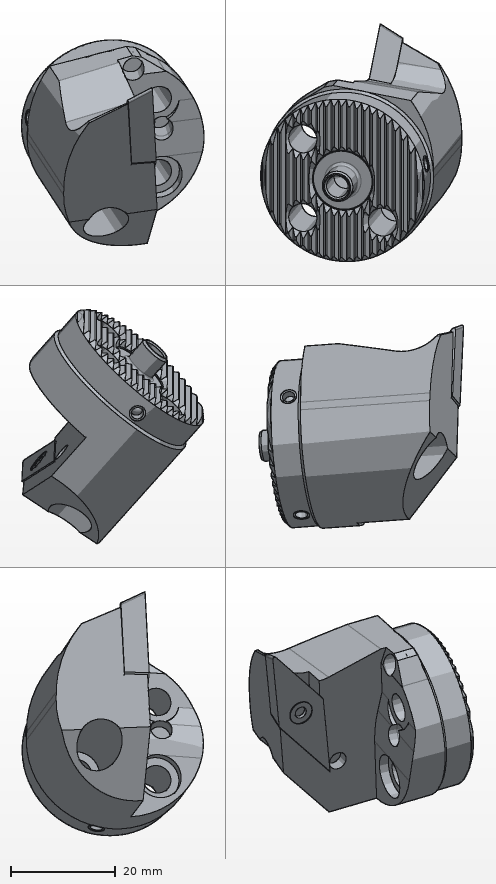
import cadquery as cq
import math


TOOTH_TIP_X = 3.9
TOOTH_ROOT_X = 4.9
TOOTH_DEPTH = TOOTH_ROOT_X - TOOTH_TIP_X
TOOTH_PITCH = 1.5
TOOTH_HALF_ANGLE = 30
GROOVES_PER_SIDE = 11
DISC_RADIUS = 16.0
SHOULDER_START_X = 10.15

BODY_START_X = 10.7
BODY_RADIUS = 16.5
BULGE_START_Z = 1.55
CREST = (3.15, 17.05)
CREST_FLAT_END = (4.95, 16.6)
ROOF_CORNER = (-12.07, 14.95)
BLANK_END_X = 43.12
NOSE_START_X = 31.35
NOSE_BLANK_TOP = (-5.75, 23.52)
OVERSIZE = 117.6

SWEEP_SLOPE_X = 0.086
SWEEP_SLOPE_Z = (CREST[1] - ROOF_CORNER[1]) / (CREST[0] - ROOF_CORNER[0])
ROOF_BREAK_X = 16.2
GULLET_START_X = 27.45
ROOF_ANGLE = 14.5
GULLET_RADIUS = 7.05
STEEP_ANGLE = 52
STEEP_LENGTH = 15.68
SWEEP_START_Y = 4.7
SWEEP_END_Y = -23.52

END_POINT = (37.67, 0, 0)
END_NORMAL = (1, -0.115, -0.047)
BEVEL_POINT = (28.05, 0, -16.45)
BEVEL_NORMAL = (1, -0.055, -0.8)
RIDGE_POINT = (37.7, -4.7, 18.75)
RIDGE_NORMAL = (0.2, -0.47, 0.93)

FLANGE_END_X = 18.15
FLANGE_FACE_X = 16.23
FLANGE_TOP_X = 14.9
FLANGE_SLOPE_TOP_Z = 13.52
FLANGE_SLOPE_LOW_Z = 6.98
FLANGE_ARC_TOP = (17.25, 3.15)
FLANGE_ARC_MIDDLE = (17.9, -0.2)
FLANGE_ARC_END_Z = -3.53
WALL_TOP_Y = 0.1
WALL_SLOPE = 0.064

HOLE_OFFSET = 7.75
HOLE_RADIUS = 2.75
COUNTERBORE_RADIUS = 4.3
HOLE_SIDES = [(1, 1), (1, -1), (-1, -1)]

COOLANT_RADIUS = 2.08
COOLANT_LEAN = 0.15
COOLANT_START_X = 12.55
COOLANT_MOUTHS = [(3.0, 14.6), (8.55, 1.95)]
OUTLET_RADIUS = 1.75
OUTLET_DEPTH = 2.35
OUTLET_PLACE = (26.05, -5.5)

SCREW_HEAD_RADIUS = 2.35
SCREW_HEAD_LENGTH = 1.18
SCREW_RADIUS = 1.55
SCREW_LENGTH = 9.4
SCREW_SOCKET_RADIUS = 1.18
SCREW_SOCKET_DEPTH = 0.8
SCREW_RECESS = 0.2
SCREW_HEAD_TAPER = math.degrees(math.atan2(SCREW_HEAD_RADIUS - SCREW_RADIUS, SCREW_HEAD_LENGTH))

PIN_RADIUS = 2.98
PIN_TIP_CHAMFER = (0.5, 0.3)
PIN_BORE_RADIUS = 2.1
PIN_BORE_CHAMFER = 0.3
PIN_BORE_DEPTH = 7.05
PIN_FILLET = 0.6
PIN_FLANGE_RADIUS = 5.88
PIN_FLANGE_CHAMFER = 0.15
PIN_FLANGE_START_X = 5.1
PIN_FLANGE_END_X = 9.8
DRILL_HALF_ANGLE = 59

NOZZLE_X = 8.2
NOZZLE_ANGLES = [168, 262]
NOZZLE_DEPTH = 3.92
SLEEVE_RADIUS = 1.55
SLEEVE_RECESS = 0.15
SLEEVE_BORE_RADIUS = 1.18
BALL_RADIUS = 1.18
BALL_TOP_DEPTH = 0.98

INSERT_SIDE = 16.85
INSERT_TIP = (39.28, 22.78)
INSERT_EDGE_TILT = 3.2
INSERT_ANGLE = 35
INSERT_RAKE_Y = 0.05
INSERT_THICKNESS = 4.7
INSERT_TIP_SHIFT = (-0.7, -2.08)
INSERT_LOWER_SIDE = 14.5
INSERT_NOSE_RADIUS = 0.4
POCKET_WALL_X = 29.45
POCKET_FLOOR_Z = 9.4


def cut_beyond(shape, point, normal):
    """Remove everything on the outer side of a plane."""
    plane = cq.Plane(origin=point, normal=normal)
    return shape.cut(cq.Workplane(plane).rect(OVERSIZE, OVERSIZE).extrude(OVERSIZE))


def cylinder_x(y, z, radius, start_x, end_x):
    plane = cq.Workplane("YZ", origin=(start_x, y, z))
    return plane.circle(radius).extrude(end_x - start_x)


def countersink_x(y, z, radius):
    """45 degree countersink that opens from the tooth roots to the tooth tips and beyond."""
    plane = cq.Workplane("YZ", origin=(TOOTH_ROOT_X, y, z))
    return plane.circle(radius).extrude(-2 * TOOTH_DEPTH, taper=-45)


def serrated_disc():
    disc = (
        cq.Workplane("XY")
        .moveTo(TOOTH_TIP_X, 0)
        .lineTo(TOOTH_TIP_X, DISC_RADIUS - TOOTH_DEPTH)
        .lineTo(TOOTH_ROOT_X, DISC_RADIUS)
        .lineTo(SHOULDER_START_X, DISC_RADIUS)
        .lineTo(BODY_START_X, BODY_RADIUS)
        .lineTo(BODY_START_X, 0)
        .close()
        .revolve(360, (0, 0, 0), (1, 0, 0))
    )
    half_width = TOOTH_DEPTH * math.tan(math.radians(TOOTH_HALF_ANGLE))
    for index in range(-GROOVES_PER_SIDE, GROOVES_PER_SIDE):
        middle_y = (index + 0.5) * TOOTH_PITCH
        groove = (
            cq.Workplane("XY", origin=(0, 0, -BODY_RADIUS))
            .moveTo(TOOTH_ROOT_X, middle_y)
            .lineTo(TOOTH_TIP_X, middle_y + half_width)
            .lineTo(TOOTH_TIP_X, middle_y - half_width)
            .close()
            .extrude(2 * BODY_RADIUS)
        )
        disc = disc.cut(groove)
    return disc


def body_blank():
    """Prism along X: round below, bulged on the -Y side, with a sloping flat roof."""
    corner_y, corner_z = ROOF_CORNER
    inset = corner_y + BODY_RADIUS
    rise = corner_z - BULGE_START_Z
    bulge_radius = (inset**2 + rise**2) / (2 * inset)
    flat_end_y, flat_end_z = CREST_FLAT_END
    reach = math.hypot(flat_end_y, flat_end_z)
    angle = math.atan2(flat_end_z, flat_end_y) - math.acos(BODY_RADIUS / reach)
    tangent = (BODY_RADIUS * math.cos(angle), BODY_RADIUS * math.sin(angle))
    return (
        cq.Workplane("YZ", origin=(BODY_START_X, 0, 0))
        .moveTo(-BODY_RADIUS, 0)
        .lineTo(-BODY_RADIUS, BULGE_START_Z)
        .radiusArc(ROOF_CORNER, bulge_radius)
        .lineTo(*CREST)
        .lineTo(*CREST_FLAT_END)
        .lineTo(*tangent)
        .threePointArc((0, -BODY_RADIUS), (-BODY_RADIUS, 0))
        .close()
        .extrude(BLANK_END_X - BODY_START_X)
    )


def nose_blank():
    """Extra height above the roof, from which the ridge beside the insert is cut."""
    return (
        cq.Workplane("YZ", origin=(NOSE_START_X, 0, 0))
        .moveTo(*ROOF_CORNER)
        .lineTo(*NOSE_BLANK_TOP)
        .lineTo(CREST[0], NOSE_BLANK_TOP[1])
        .lineTo(CREST[0], 0)
        .close()
        .extrude(BLANK_END_X - NOSE_START_X)
    )


def roof_cut():
    roof = math.radians(ROOF_ANGLE)
    steep = math.radians(STEEP_ANGLE)
    break_z = CREST[1] - CREST[0] * SWEEP_SLOPE_Z
    start_z = break_z - (GULLET_START_X - ROOF_BREAK_X) * math.tan(roof)
    centre_x = GULLET_START_X + GULLET_RADIUS * math.sin(roof)
    centre_z = start_z + GULLET_RADIUS * math.cos(roof)
    end_x = centre_x + GULLET_RADIUS * math.sin(steep)
    end_z = centre_z - GULLET_RADIUS * math.cos(steep)
    top_x = end_x + STEEP_LENGTH * math.cos(steep)
    top_z = end_z + STEEP_LENGTH * math.sin(steep)
    plane = cq.Plane(origin=(0, 0, 0), xDir=(1, 0, 0), normal=(0, -1, 0))
    shift = cq.Vector(-SWEEP_SLOPE_X, 1, SWEEP_SLOPE_Z) * SWEEP_START_Y
    wire = (
        cq.Workplane(plane)
        .moveTo(ROOF_BREAK_X, break_z)
        .lineTo(GULLET_START_X, start_z)
        .threePointArc((centre_x, centre_z - GULLET_RADIUS), (end_x, end_z))
        .lineTo(top_x, top_z)
        .lineTo(ROOF_BREAK_X, top_z)
        .close()
        .val()
        .moved(cq.Location(shift))
    )
    sweep = cq.Vector(SWEEP_SLOPE_X, -1, -SWEEP_SLOPE_Z) * (SWEEP_START_Y - SWEEP_END_Y)
    return cq.Workplane(cq.Solid.extrudeLinear(wire, [], sweep))


def wall_plane(y, z, x=0):
    """Plane parallel to the +Y wall: local x runs along X, local y upward, the normal into the head."""
    return cq.Plane(origin=(x, y, z), xDir=(1, 0, 0), normal=(0, -1, -WALL_SLOPE))


def side_cut():
    """Everything that is cleared on the +Y side behind the flange."""
    top_z = 2 * BODY_RADIUS
    slope = (FLANGE_FACE_X - FLANGE_TOP_X) / (CREST[1] - FLANGE_SLOPE_TOP_Z)
    top_x = FLANGE_TOP_X - (top_z - CREST[1]) * slope
    behind_flange = (
        cq.Workplane(cq.Plane(origin=(0, OVERSIZE / 2, 0), xDir=(1, 0, 0), normal=(0, -1, 0)))
        .moveTo(top_x, top_z)
        .lineTo(FLANGE_FACE_X, FLANGE_SLOPE_TOP_Z)
        .lineTo(FLANGE_FACE_X, FLANGE_SLOPE_LOW_Z)
        .lineTo(*FLANGE_ARC_TOP)
        .threePointArc(FLANGE_ARC_MIDDLE, (FLANGE_END_X, FLANGE_ARC_END_Z))
        .lineTo(FLANGE_END_X, -top_z)
        .lineTo(OVERSIZE, -top_z)
        .lineTo(OVERSIZE, top_z)
        .close()
        .extrude(OVERSIZE)
    )
    beside_wall = (
        cq.Workplane(wall_plane(WALL_TOP_Y, CREST[1]))
        .rect(OVERSIZE, OVERSIZE)
        .extrude(-OVERSIZE)
    )
    return behind_flange.intersect(beside_wall)


def build_pin():
    chamfer_length, chamfer_height = PIN_TIP_CHAMFER
    drill_tip_x = PIN_BORE_DEPTH + PIN_BORE_RADIUS / math.tan(math.radians(DRILL_HALF_ANGLE))
    fillet_x = PIN_FLANGE_START_X - PIN_FILLET
    fillet_bulge = PIN_FILLET * (1 - math.sqrt(0.5))
    return (
        cq.Workplane("XY")
        .moveTo(0, PIN_BORE_RADIUS + PIN_BORE_CHAMFER)
        .lineTo(0, PIN_RADIUS - chamfer_height)
        .lineTo(chamfer_length, PIN_RADIUS)
        .lineTo(fillet_x, PIN_RADIUS)
        .threePointArc(
            (PIN_FLANGE_START_X - fillet_bulge, PIN_RADIUS + fillet_bulge),
            (PIN_FLANGE_START_X, PIN_RADIUS + PIN_FILLET),
        )
        .lineTo(PIN_FLANGE_START_X, PIN_FLANGE_RADIUS - PIN_FLANGE_CHAMFER)
        .lineTo(PIN_FLANGE_START_X + PIN_FLANGE_CHAMFER, PIN_FLANGE_RADIUS)
        .lineTo(PIN_FLANGE_END_X, PIN_FLANGE_RADIUS)
        .lineTo(PIN_FLANGE_END_X, 0)
        .lineTo(drill_tip_x, 0)
        .lineTo(PIN_BORE_DEPTH, PIN_BORE_RADIUS)
        .lineTo(PIN_BORE_CHAMFER, PIN_BORE_RADIUS)
        .close()
        .revolve(360, (0, 0, 0), (1, 0, 0))
    )


def nozzle_plane(angle, depth):
    """Plane at a depth below the rim, with its normal pointing radially outward."""
    turn = math.radians(angle)
    radial = cq.Vector(0, math.cos(turn), math.sin(turn))
    origin = cq.Vector(NOZZLE_X, 0, 0) + radial * (DISC_RADIUS - depth)
    return cq.Plane(origin=origin.toTuple(), xDir=(1, 0, 0), normal=radial.toTuple())


def build_sleeve(angle):
    bore_depth = BALL_TOP_DEPTH + 2 * BALL_RADIUS
    sleeve = cq.Workplane(nozzle_plane(angle, NOZZLE_DEPTH)).circle(SLEEVE_RADIUS)
    bore = cq.Workplane(nozzle_plane(angle, bore_depth)).circle(SLEEVE_BORE_RADIUS)
    return sleeve.extrude(NOZZLE_DEPTH - SLEEVE_RECESS).cut(bore.extrude(bore_depth))


def build_ball(angle):
    return cq.Workplane(nozzle_plane(angle, BALL_TOP_DEPTH + BALL_RADIUS)).sphere(BALL_RADIUS)


def rhombus(tip, side):
    """Corners of the insert outline, starting at the cutting tip."""
    right = math.radians(-90 - INSERT_EDGE_TILT)
    left = math.radians(-90 - INSERT_EDGE_TILT - INSERT_ANGLE)
    right_edge = (side * math.cos(right), side * math.sin(right))
    left_edge = (side * math.cos(left), side * math.sin(left))
    return [
        tip,
        (tip[0] + right_edge[0], tip[1] + right_edge[1]),
        (tip[0] + right_edge[0] + left_edge[0], tip[1] + right_edge[1] + left_edge[1]),
        (tip[0] + left_edge[0], tip[1] + left_edge[1]),
    ]


def insert_plane():
    """Rake plane with its origin at the sharp cutting tip."""
    return wall_plane(INSERT_RAKE_Y, INSERT_TIP[1], INSERT_TIP[0])


def build_insert():
    insert = (
        cq.Workplane(insert_plane())
        .polyline(rhombus((0, 0), INSERT_SIDE))
        .close()
        .workplane(offset=INSERT_THICKNESS)
        .polyline(rhombus(INSERT_TIP_SHIFT, INSERT_LOWER_SIDE))
        .close()
        .loft(ruled=True, combine=True)
    )
    tip_x, tip_z = INSERT_TIP
    nose = cq.selectors.NearestToPointSelector((tip_x, INSERT_RAKE_Y - INSERT_THICKNESS / 2, tip_z))
    return insert.edges(nose).fillet(INSERT_NOSE_RADIUS).cut(screw_hole())


def screw_plane():
    """Rake plane with its origin at the middle of the insert."""
    tip, _, opposite, _ = rhombus((0, 0), INSERT_SIDE)
    middle = insert_plane().toWorldCoords(((tip[0] + opposite[0]) / 2, (tip[1] + opposite[1]) / 2))
    return wall_plane(middle.y, middle.z, middle.x)


def build_screw():
    head = cq.Workplane(screw_plane()).workplane(offset=SCREW_RECESS).circle(SCREW_HEAD_RADIUS)
    shank = cq.Workplane(screw_plane()).workplane(offset=SCREW_RECESS).circle(SCREW_RADIUS)
    socket = cq.Workplane(screw_plane()).circle(SCREW_SOCKET_RADIUS)
    screw = head.extrude(SCREW_HEAD_LENGTH, taper=SCREW_HEAD_TAPER).union(shank.extrude(SCREW_LENGTH))
    return screw.cut(socket.extrude(SCREW_RECESS + SCREW_SOCKET_DEPTH))


def screw_hole():
    """Space for the screw, open above its head."""
    above = cq.Workplane(screw_plane()).circle(SCREW_HEAD_RADIUS).extrude(SCREW_RECESS)
    head = cq.Workplane(screw_plane()).workplane(offset=SCREW_RECESS).circle(SCREW_HEAD_RADIUS)
    shank = cq.Workplane(screw_plane()).circle(SCREW_RADIUS)
    hole = above.union(head.extrude(SCREW_HEAD_LENGTH, taper=SCREW_HEAD_TAPER))
    return hole.union(shank.extrude(SCREW_RECESS + SCREW_LENGTH))


def insert_clearance():
    """Open corner of the insert pocket, and the space in front of the rake face."""
    wall = POCKET_WALL_X - INSERT_TIP[0]
    floor = POCKET_FLOOR_Z - INSERT_TIP[1]
    corner = (
        cq.Workplane(insert_plane())
        .moveTo(wall, floor)
        .lineTo(OVERSIZE, floor)
        .lineTo(OVERSIZE, OVERSIZE)
        .lineTo(wall, OVERSIZE)
        .close()
        .extrude(INSERT_THICKNESS)
    )
    front = (
        cq.Workplane(insert_plane())
        .polyline(rhombus((0, 0), INSERT_SIDE))
        .close()
        .extrude(-OVERSIZE)
    )
    return corner.union(front)


def cut_mounting_holes(housing):
    for y_side, z_side in HOLE_SIDES:
        y = y_side * HOLE_OFFSET
        z = z_side * HOLE_OFFSET
        housing = housing.cut(cylinder_x(y, z, HOLE_RADIUS, 0, BLANK_END_X))
        housing = housing.cut(cylinder_x(y, z, COUNTERBORE_RADIUS, FLANGE_FACE_X, BLANK_END_X))
        housing = housing.cut(countersink_x(y, z, HOLE_RADIUS))
    return housing


def cut_coolant_holes(housing):
    half_length = FLANGE_FACE_X - COOLANT_START_X
    for y, z in COOLANT_MOUTHS:
        plane = cq.Plane(origin=(FLANGE_FACE_X, y, z), normal=(1, -COOLANT_LEAN, 0))
        housing = housing.cut(cq.Workplane(plane).circle(COOLANT_RADIUS).extrude(half_length, both=True))
    outlet_x, outlet_z = OUTLET_PLACE
    outlet_y = WALL_TOP_Y + (CREST[1] - outlet_z) * WALL_SLOPE
    outlet = cq.Workplane(wall_plane(outlet_y, outlet_z, outlet_x)).circle(OUTLET_RADIUS)
    return housing.cut(outlet.extrude(OUTLET_DEPTH))


def cut_pin_recess(housing):
    housing = housing.cut(countersink_x(0, 0, PIN_FLANGE_RADIUS))
    return housing.cut(cylinder_x(0, 0, PIN_FLANGE_RADIUS, TOOTH_TIP_X, PIN_FLANGE_END_X))


def cut_nozzle_holes(housing):
    for angle in NOZZLE_ANGLES:
        hole = cq.Workplane(nozzle_plane(angle, NOZZLE_DEPTH)).circle(SLEEVE_RADIUS)
        housing = housing.cut(hole.extrude(2 * NOZZLE_DEPTH))
    return housing


def build_housing(fitted_insert):
    head = body_blank().union(nose_blank()).cut(roof_cut())
    head = cut_beyond(head, END_POINT, END_NORMAL)
    head = cut_beyond(head, BEVEL_POINT, BEVEL_NORMAL)
    head = cut_beyond(head, RIDGE_POINT, RIDGE_NORMAL)
    head = head.cut(side_cut()).cut(insert_clearance())
    housing = serrated_disc().union(head)
    housing = cut_mounting_holes(housing)
    housing = cut_coolant_holes(housing)
    housing = cut_pin_recess(housing)
    housing = cut_nozzle_holes(housing)
    return housing.cut(fitted_insert).cut(screw_hole())


pin = build_pin()
insert = build_insert()
screw = build_screw()
sleeves = [build_sleeve(angle).val() for angle in NOZZLE_ANGLES]
balls = [build_ball(angle).val() for angle in NOZZLE_ANGLES]
housing = build_housing(insert)
result = cq.Compound.makeCompound([housing.val(), pin.val(), insert.val(), screw.val(), *sleeves, *balls])